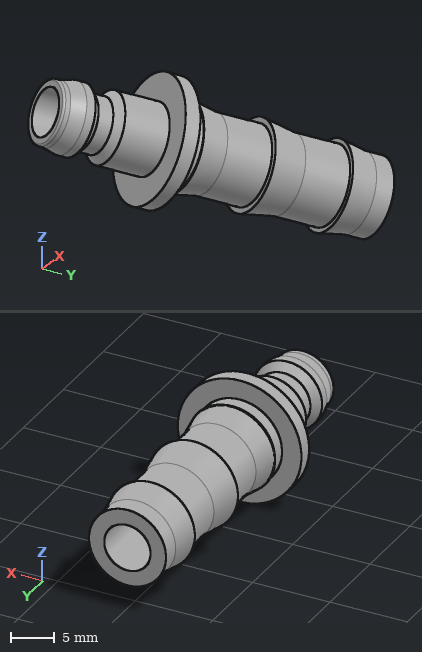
import cadquery as cq

length = 44.0
end_land = 2.4
end_barb_length = 3.55
mid_barb_length = 4.55
tube_gap = 6.0
collar_length = 2.0
flange_thickness = 2.0
stem_length = 6.0
groove_length = 2.0
groove_slope = 1.0
nose_land = 1.2
nose_tip = 0.92

tube_diameter = 10.0
end_barb_diameter = 11.25
mid_barb_diameter = 11.55
collar_diameter = 11.0
flange_diameter = 16.0
stem_diameter = 8.98
groove_diameter = 7.0
tip_diameter = 8.05
bore_diameter = 6.0
tip_round = 0.25

half_length = length / 2
barb_1_top = half_length - end_land
barb_1_bottom = barb_1_top - end_barb_length
barb_2_top = barb_1_bottom - tube_gap
barb_2_bottom = barb_2_top - mid_barb_length
barb_3_top = barb_2_bottom - tube_gap
barb_3_bottom = barb_3_top - end_barb_length
flange_top = barb_3_bottom - collar_length
flange_bottom = flange_top - flange_thickness
stem_bottom = flange_bottom - stem_length
groove_top = stem_bottom - groove_slope
groove_bottom = groove_top - groove_length
nose_top = groove_bottom - groove_slope
nose_start = nose_top - nose_land
nose_end = nose_tip - half_length


def add_barb(profile, top, bottom, diameter, next_diameter):
    """Add a tapered barb flank and the square shoulder below it."""
    profile = profile.lineTo(tube_diameter / 2, top)
    profile = profile.lineTo(diameter / 2, bottom)
    return profile.lineTo(next_diameter / 2, bottom)


profile = cq.Workplane("XY").moveTo(bore_diameter / 2, half_length)
profile = profile.lineTo(tube_diameter / 2, half_length)
profile = add_barb(profile, barb_1_top, barb_1_bottom, end_barb_diameter, tube_diameter)
profile = add_barb(profile, barb_2_top, barb_2_bottom, mid_barb_diameter, tube_diameter)
profile = add_barb(profile, barb_3_top, barb_3_bottom, end_barb_diameter, collar_diameter)

for diameter, station in (
    (collar_diameter, flange_top),
    (flange_diameter, flange_top),
    (flange_diameter, flange_bottom),
    (stem_diameter, flange_bottom),
    (stem_diameter, stem_bottom),
    (groove_diameter, groove_top),
    (groove_diameter, groove_bottom),
    (stem_diameter, nose_top),
    (stem_diameter, nose_start),
    (tip_diameter, nose_end),
):
    profile = profile.lineTo(diameter / 2, station)

profile = (
    profile.lineTo(tip_diameter / 2, tip_round - half_length)
    .radiusArc((tip_diameter / 2 - tip_round, -half_length), tip_round)
    .lineTo(bore_diameter / 2, -half_length)
    .close()
)

result = profile.revolve(360, (0, 0, 0), (0, 1, 0))